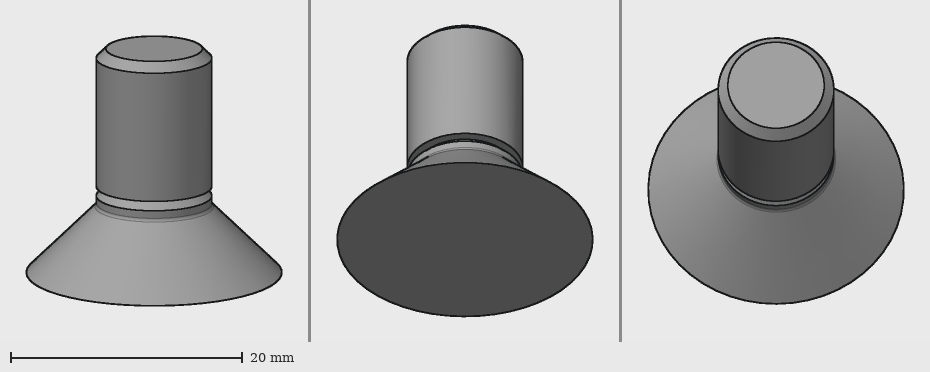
import cadquery as cq
import math

total_height = 20.0
head_radius = 11.04
shank_diameter = 10.0
tip_chamfer = 0.84
shank_start = 7.7
collar_chamfer = 0.84
fillet_radius = 0.42

shank_radius = shank_diameter / 2
cone_angle = math.radians(45)
half_turn = cone_angle / 2
fillet_center_radius = shank_radius + fillet_radius
cone_top_radius = fillet_center_radius - fillet_radius * math.cos(cone_angle)
cone_top = head_radius - cone_top_radius
collar_bottom = cone_top + fillet_radius * math.sin(cone_angle)
fillet_mid = (
    fillet_center_radius - fillet_radius * math.cos(half_turn),
    collar_bottom - fillet_radius * math.sin(half_turn),
)

result = (
    cq.Workplane("XZ")
    .moveTo(0, 0)
    .lineTo(head_radius, 0)
    .lineTo(cone_top_radius, cone_top)
    .threePointArc(fillet_mid, (shank_radius, collar_bottom))
    .lineTo(shank_radius, shank_start - collar_chamfer)
    .lineTo(shank_radius - collar_chamfer, shank_start)
    .lineTo(shank_radius, shank_start)
    .lineTo(shank_radius, total_height - tip_chamfer)
    .lineTo(shank_radius - tip_chamfer, total_height)
    .lineTo(0, total_height)
    .close()
    .revolve(360, (0, 0, 0), (0, 1, 0))
)